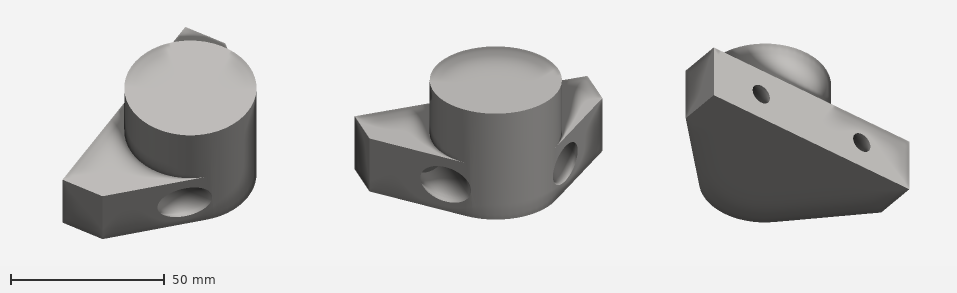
import cadquery as cq
import math

base_width = 80.0
base_height = 20.0
side_depth = 15.0

boss_diameter = 43.0
boss_height = 2 * base_height
boss_x = 25.0

hole_diameter = 7.0
counterbore_diameter = 13.0
hole_offset = 20.6
seat_x = side_depth
hole_z = base_height / 2


def tangent_point():
    """Point where a line from the +Y side corner touches the boss circle."""
    radius = boss_diameter / 2
    corner_dx = side_depth - boss_x
    corner_dy = base_width / 2
    corner_distance = math.hypot(corner_dx, corner_dy)
    angle = math.atan2(corner_dy, corner_dx) - math.acos(radius / corner_distance)
    return boss_x + radius * math.cos(angle), radius * math.sin(angle)


def make_base():
    half_width = base_width / 2
    nose_depth, half_nose = tangent_point()
    outline = [
        (0, -half_width),
        (side_depth, -half_width),
        (nose_depth, -half_nose),
        (nose_depth, half_nose),
        (side_depth, half_width),
        (0, half_width),
    ]
    return cq.Workplane("XY").polyline(outline).close().extrude(base_height)


def make_boss():
    return cq.Workplane("XY").center(boss_x, 0).circle(boss_diameter / 2).extrude(boss_height)


def cylinder_along_x(diameter, start_x, end_x, y):
    plane = cq.Workplane("YZ", origin=(start_x, y, hole_z))
    return plane.circle(diameter / 2).extrude(end_x - start_x)


def make_screw_hole(y):
    end_x = boss_x + boss_diameter / 2
    bore = cylinder_along_x(hole_diameter, 0, end_x, y)
    counterbore = cylinder_along_x(counterbore_diameter, seat_x, end_x, y)
    return bore.union(counterbore)


result = make_base().union(make_boss())
for hole_y in (-hole_offset, hole_offset):
    result = result.cut(make_screw_hole(hole_y))